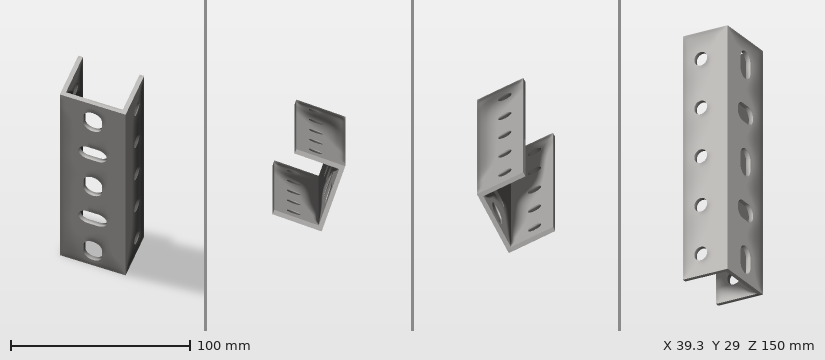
import cadquery as cq

width = 39.3
depth = 29.0
length = 150.0
thickness = 2.7

hole_count = 5
pitch = 30.0
first_hole_height = 13.5

slot_length = 17.0
slot_width = 11.0
flange_hole_diameter = 8.2
flange_hole_setback = 17.4

hole_heights = [first_hole_height + i * pitch for i in range(hole_count)]


def channel():
    """Square-cornered U section, centred on X with its web face on Y = 0."""
    outer = cq.Workplane("XY").rect(width, depth).extrude(length)
    inner = (
        cq.Workplane("XY")
        .center(0, thickness)
        .rect(width - 2 * thickness, depth)
        .extrude(length)
    )
    return outer.cut(inner).translate((0, depth / 2, 0))


def web_slot(height, angle):
    """Cutter for one rounded slot; the angle is measured from the X axis."""
    return (
        cq.Workplane("XZ")
        .center(0, height)
        .slot2D(slot_length, slot_width, angle)
        .extrude(thickness, both=True)
    )


def flange_holes():
    """Cutter for the row of round holes through both flanges."""
    return (
        cq.Workplane("YZ")
        .pushPoints([(flange_hole_setback, height) for height in hole_heights])
        .circle(flange_hole_diameter / 2)
        .extrude(width, both=True)
    )


result = channel().cut(flange_holes())

for index, slot_height in enumerate(hole_heights):
    slot_angle = 90 if index % 2 == 0 else 0
    result = result.cut(web_slot(slot_height, slot_angle))